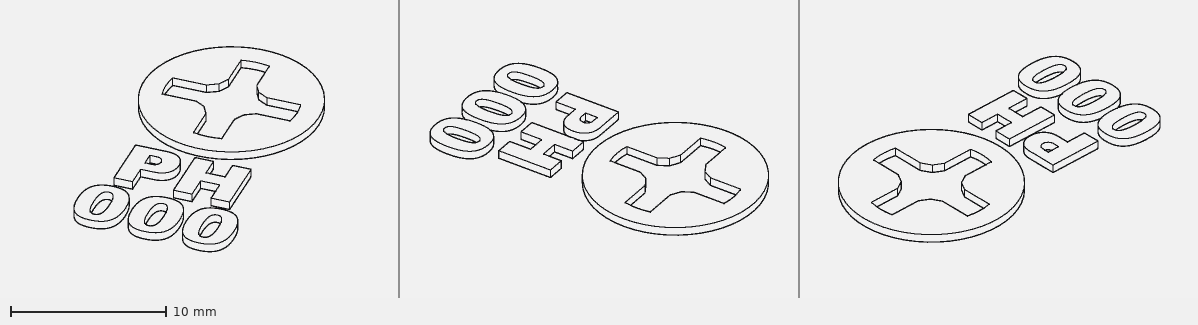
import cadquery as cq

thickness = 0.6
overall_length = 22.05


disc_radius = 6.0
cross_tip_radius = 4.5
arm_width = 1.95
arm_half_width = arm_width / 2
flare_start = 2.07
flare_middle = 1.37

letter_top = -7.02
letter_height = 4.0
letter_bottom = letter_top - letter_height
letter_row_half_width = 3.97
stem_width = 1.28

bowl_height = 2.5
bowl_right = -0.53
bowl_wall = 0.8
bowl_end_wall = 1.21
bowl_fullness = 0.62
bowl_hole_fullness = 0.55

h_left = 0.1
bar_top = -8.4
bar_height = 1.0

zero_count = 3
zero_pitch = 3.73
zero_row_center_x = 0.02
zero_width = 3.29
zero_height = 4.13
zero_center_y = disc_radius - overall_length + zero_height / 2
zero_hole_width = 1.08
zero_hole_height = 2.67
zero_fullness = 0.69


def make_disc():
    """Round plate with the cross cut through it."""
    disc = cq.Workplane("XY").circle(disc_radius).extrude(thickness)
    arm_size = 2 * cross_tip_radius
    arms = (
        cq.Workplane("XY")
        .rect(arm_size, arm_width)
        .extrude(thickness)
        .union(cq.Workplane("XY").rect(arm_width, arm_size).extrude(thickness))
    )
    center_points = []
    for side_x, side_y in [(1, 1), (-1, 1), (-1, -1), (1, -1)]:
        corner = [
            (side_x * flare_start, side_y * arm_half_width),
            (side_x * flare_middle, side_y * flare_middle),
            (side_x * arm_half_width, side_y * flare_start),
        ]
        center_points += corner if side_x * side_y > 0 else corner[::-1]
    center = cq.Workplane("XY").polyline(center_points).close().extrude(thickness)
    tip_limit = cq.Workplane("XY").circle(cross_tip_radius).extrude(thickness)
    return disc.cut(arms.union(center).intersect(tip_limit))


def round_ended_block(left, right, top, height, fullness):
    """Block with a straight left edge and a rounded right end."""
    radius = height / 2
    curve_start = right - radius
    handle_end = curve_start + radius * fullness
    middle = top - radius
    bottom = top - height
    upper_handle = middle + radius * fullness
    lower_handle = middle - radius * fullness
    return (
        cq.Workplane("XY")
        .moveTo(left, top)
        .lineTo(curve_start, top)
        .bezier([(curve_start, top), (handle_end, top), (right, upper_handle), (right, middle)])
        .bezier([(right, middle), (right, lower_handle), (handle_end, bottom), (curve_start, bottom)])
        .lineTo(left, bottom)
        .close()
        .extrude(thickness)
    )


def stem(left):
    """Full-height upright of a letter."""
    return (
        cq.Workplane("XY")
        .rect(stem_width, letter_height, centered=False)
        .extrude(thickness)
        .translate((left, letter_bottom, 0))
    )


def make_letter_p():
    """Stem with a bowl at the top and a hole through the bowl."""
    left = -letter_row_half_width
    bowl = round_ended_block(left, bowl_right, letter_top, bowl_height, bowl_fullness)
    hole = round_ended_block(
        left + stem_width,
        bowl_right - bowl_end_wall,
        letter_top - bowl_wall,
        bowl_height - 2 * bowl_wall,
        bowl_hole_fullness,
    )
    return stem(left).union(bowl).cut(hole)


def make_letter_h():
    """Two stems joined by a crossbar."""
    right_stem_left = letter_row_half_width - stem_width
    bar = (
        cq.Workplane("XY")
        .rect(right_stem_left - h_left, bar_height, centered=False)
        .extrude(thickness)
        .translate((h_left, bar_top - bar_height, 0))
    )
    return stem(h_left).union(stem(right_stem_left)).union(bar)


def oval(width, height):
    """Squarish oval prism about the origin, from four quarter curves."""
    half_x = width / 2
    half_y = height / 2
    handle_x = half_x * zero_fullness
    handle_y = half_y * zero_fullness
    return (
        cq.Workplane("XY")
        .moveTo(half_x, 0)
        .bezier([(half_x, 0), (half_x, handle_y), (handle_x, half_y), (0, half_y)])
        .bezier([(0, half_y), (-handle_x, half_y), (-half_x, handle_y), (-half_x, 0)])
        .bezier([(-half_x, 0), (-half_x, -handle_y), (-handle_x, -half_y), (0, -half_y)])
        .bezier([(0, -half_y), (handle_x, -half_y), (half_x, -handle_y), (half_x, 0)])
        .close()
        .extrude(thickness)
    )


def make_zero(center_x):
    """Oval ring centred at the given X."""
    ring = oval(zero_width, zero_height).cut(oval(zero_hole_width, zero_hole_height))
    return ring.translate((center_x, zero_center_y, 0))


disc = make_disc()
letter_p = make_letter_p()
letter_h = make_letter_h()
zeros = []
for index in range(zero_count):
    steps_from_middle = index - (zero_count - 1) / 2
    zeros.append(make_zero(zero_row_center_x + steps_from_middle * zero_pitch).val())

result = cq.Compound.makeCompound([disc.val(), letter_p.val(), letter_h.val(), *zeros])